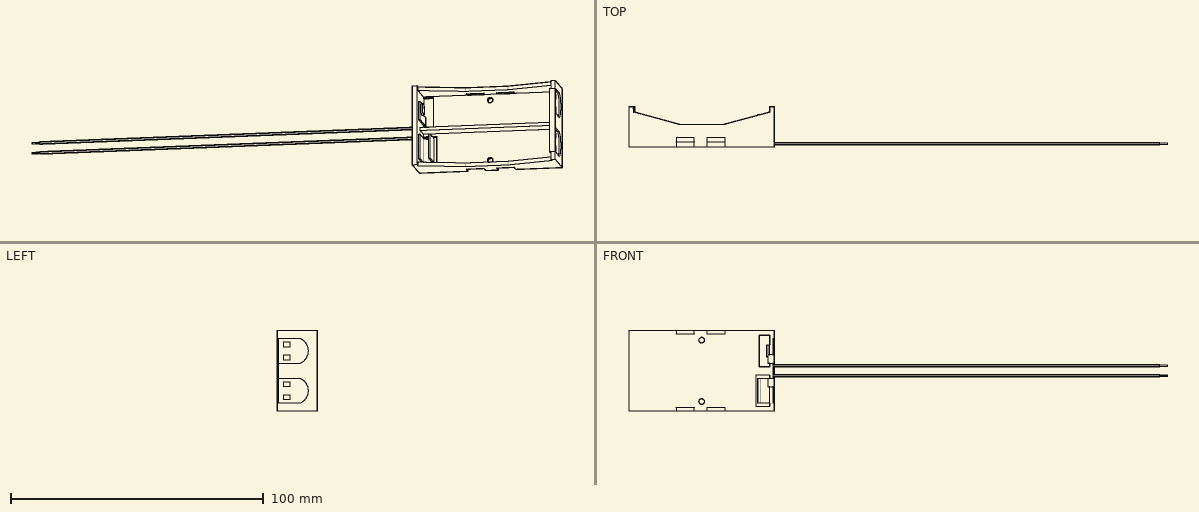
import cadquery as cq
import math


OVERALL_LENGTH = 213.0

LENGTH = 57.5
HEIGHT = 16.0
WIDTH = 32.0
FLOOR = 2.0
SIDE_WALL = 1.5
LEFT_WALL = 1.7
RIGHT_WALL = 2.0
DIVIDER = 1.3
SHOULDER_HEIGHT = 13.8
SIDE_LOW_HEIGHT = 9.0
DIP_START = 20.2
DIP_END = 37.3
SHEET = 0.6
CELL_OFFSET = 7.9
CELL_AXIS_HEIGHT = 8.5
CELL_SIDES = (1, -1)

LEFT_INNER = LEFT_WALL + SHEET
RIGHT_INNER = LENGTH - RIGHT_WALL

POCKET_HALF_WIDTH = 5.0
POCKET_BOTTOM = 3.6
POCKET_ARC_TOP = 6.8
POCKET_DEPTH = 0.6
POCKET_TOP = HEIGHT - SHEET
PRONG_HEIGHT = 2.5
PRONG_WIDTH = 2.0
PRONG_CENTRE = 12.1
PRONG_OFFSET = 2.5
CONTACT_SPAN = 2 * (CELL_OFFSET + POCKET_HALF_WIDTH)

SIDE_SLOT_STARTS = (18.7, 31.0)
SIDE_SLOT_LENGTH = 7.0
SIDE_SLOT_HEIGHT = 3.8
PIN_HOLE_DIAMETER = 2.1
PIN_HOLE_OFFSET = 12.1
WINDOW_INNER_OFFSET = 1.7
WINDOW_OUTER_OFFSET = 14.0
POSITIVE_WINDOW_START = 51.5
NEGATIVE_WINDOW_START = 50.3

END_RECESS = 0.6
RECESS_FACE = LENGTH - END_RECESS
END_RIB_INNER = 6.4
END_RIB_OUTER = 9.0
TAB_INNER = CELL_OFFSET - POCKET_HALF_WIDTH
TAB_OUTER = END_RIB_INNER
END_RIB_BOTTOM = 5.1

CONTACT_TOP = 12.8
CONTACT_BOTTOM = 5.1
BUTTON_RADIUS = 2.3
BUTTON_HEIGHT = 0.6
SPRING_BEND_RADIUS = 2.3
SPRING_REACH = 4.7
SPRING_TILT = math.radians(60)

WIRE_DIAMETER = 1.0
CORE_DIAMETER = 0.6
WIRE_OFFSET = 2.0
WIRE_HEIGHT = 1.3
STRIPPED_LENGTH = 3.2


def block(x_range, y_range, z_range):
    """Box between the given limits, each pair in either order."""
    (x0, x1), (y0, y1), (z0, z1) = sorted(x_range), sorted(y_range), sorted(z_range)
    return cq.Workplane("XY").box(x1 - x0, y1 - y0, z1 - z0, centered=False).translate((x0, y0, z0))


def housing_shell():
    """Open tray whose side walls slope down to a flat middle stretch, with a divider between the cells."""
    side_profile = (
        cq.Workplane("XY")
        .moveTo(0, 0)
        .lineTo(LENGTH, 0)
        .lineTo(LENGTH, HEIGHT)
        .lineTo(RIGHT_INNER, HEIGHT)
        .lineTo(RIGHT_INNER, SHOULDER_HEIGHT)
        .lineTo(DIP_END, SIDE_LOW_HEIGHT)
        .lineTo(DIP_START, SIDE_LOW_HEIGHT)
        .lineTo(LEFT_INNER, SHOULDER_HEIGHT)
        .lineTo(LEFT_WALL, SHOULDER_HEIGHT)
        .lineTo(LEFT_WALL, HEIGHT)
        .lineTo(0, HEIGHT)
        .close()
        .extrude(WIDTH / 2, both=True)
    )
    inner_half_width = WIDTH / 2 - SIDE_WALL
    cavity = block((LEFT_WALL, RIGHT_INNER), (FLOOR, HEIGHT), (-inner_half_width, inner_half_width))
    divider = block((LEFT_INNER, RIGHT_INNER), (0, SIDE_LOW_HEIGHT), (-DIVIDER / 2, DIVIDER / 2))
    return side_profile.cut(cavity).union(divider)


def left_end_pocket(side):
    """Shallow round-bottomed pocket in the outer face of the left wall."""
    return (
        cq.Workplane("YZ", origin=(0, 0, side * CELL_OFFSET))
        .moveTo(POCKET_TOP, -POCKET_HALF_WIDTH)
        .lineTo(POCKET_ARC_TOP, -POCKET_HALF_WIDTH)
        .threePointArc((POCKET_BOTTOM, 0), (POCKET_ARC_TOP, POCKET_HALF_WIDTH))
        .lineTo(POCKET_TOP, POCKET_HALF_WIDTH)
        .close()
        .extrude(POCKET_DEPTH)
    )


def bridge_prongs(side):
    """Two prongs from the inside of the left wall to the floor of a pocket."""
    z = side * CELL_OFFSET
    return (
        cq.Workplane("YZ", origin=(POCKET_DEPTH, 0, 0))
        .pushPoints([(PRONG_CENTRE, z + s * PRONG_OFFSET) for s in (1, -1)])
        .rect(PRONG_HEIGHT, PRONG_WIDTH)
        .extrude(LEFT_WALL - POCKET_DEPTH)
    )


def side_slot(start, side):
    """Slot through a side wall that also breaks the edge of the floor."""
    z_range = (side * (WIDTH / 2 - SIDE_WALL), side * WIDTH / 2)
    return block((start, start + SIDE_SLOT_LENGTH), (0, SIDE_SLOT_HEIGHT), z_range)


def pin_hole(side):
    hole = cq.Workplane("XZ").center(LENGTH / 2, side * PIN_HOLE_OFFSET).circle(PIN_HOLE_DIAMETER / 2)
    return hole.extrude(-FLOOR)


def window(start, side):
    z_range = (side * WINDOW_INNER_OFFSET, side * WINDOW_OUTER_OFFSET)
    return block((start, RIGHT_INNER), (0, FLOOR), z_range)


def right_end_recess():
    """Wide shallow recess, open at the floor, with one rib per cell standing above the floor."""
    recess = block((RECESS_FACE, LENGTH), (0, POCKET_TOP), (-CONTACT_SPAN / 2, CONTACT_SPAN / 2))
    for side in CELL_SIDES:
        rib_z = (side * END_RIB_INNER, side * END_RIB_OUTER)
        recess = recess.cut(block((RECESS_FACE, LENGTH), (END_RIB_BOTTOM, POCKET_TOP), rib_z))
    return recess


def tab_notch(side):
    """Groove for a solder tab across the underside of the right wall."""
    return block((RIGHT_INNER, LENGTH), (0, SHEET), (side * TAB_INNER, side * TAB_OUTER))


def bridge_seat():
    """Lowered top of the left wall that carries the bridge contact."""
    return block((0, LEFT_WALL), (POCKET_TOP, HEIGHT), (-CONTACT_SPAN / 2, CONTACT_SPAN / 2))


def make_housing():
    body = housing_shell().cut(bridge_seat()).cut(right_end_recess())
    body = body.cut(window(POSITIVE_WINDOW_START, 1)).cut(window(NEGATIVE_WINDOW_START, -1))
    for side in CELL_SIDES:
        body = body.cut(left_end_pocket(side)).cut(bridge_prongs(side))
        body = body.cut(pin_hole(side)).cut(tab_notch(side))
        for start in SIDE_SLOT_STARTS:
            body = body.cut(side_slot(start, side))
    return body


def make_bridge_contact():
    """Plate joining both cells inside the left wall, with prongs through the wall and a fold over its top."""
    z_range = (-CONTACT_SPAN / 2, CONTACT_SPAN / 2)
    plate = block((LEFT_WALL, LEFT_INNER), (POCKET_BOTTOM, HEIGHT), z_range)
    contact = plate.union(bridge_seat())
    for side in CELL_SIDES:
        contact = contact.union(bridge_prongs(side))
    return contact


def solder_tab(side):
    """Strip down from a contact, bent outward under the right wall and flush with the underside."""
    z_range = (side * TAB_INNER, side * TAB_OUTER)
    riser = block((RIGHT_INNER - SHEET, RIGHT_INNER), (0, CONTACT_BOTTOM), z_range)
    return riser.union(block((RIGHT_INNER - SHEET, LENGTH), (0, SHEET), z_range))


def make_positive_contact():
    """Plate with a round button facing the cell."""
    plate_x = RIGHT_INNER - SHEET
    z_range = (TAB_INNER, CELL_OFFSET + BUTTON_RADIUS)
    plate = block((plate_x, RIGHT_INNER), (CONTACT_BOTTOM, CONTACT_TOP), z_range)
    button = (
        cq.Workplane("YZ", origin=(plate_x, 0, 0))
        .center(CELL_AXIS_HEIGHT, CELL_OFFSET)
        .circle(BUTTON_RADIUS)
        .extrude(-BUTTON_HEIGHT)
    )
    return plate.union(button).union(solder_tab(1))


def make_negative_contact():
    """Leaf spring: a leg on the wall, a round bend near the floor and a leg that leans out, then rises."""
    centre_x = RIGHT_INNER - SPRING_BEND_RADIUS
    centre_y = CONTACT_BOTTOM
    free_leg_x = RIGHT_INNER - SPRING_REACH
    outer = SPRING_BEND_RADIUS
    inner = SPRING_BEND_RADIUS - SHEET

    def bend_low(radius):
        return (centre_x, centre_y - radius)

    def bend_end(radius):
        return (centre_x - radius * math.cos(SPRING_TILT), centre_y - radius * math.sin(SPRING_TILT))

    def lean_end(radius, x):
        bend_x, bend_y = bend_end(radius)
        return (x, bend_y + (bend_x - x) / math.tan(SPRING_TILT))

    leaf = (
        cq.Workplane("XY", origin=(0, 0, -CELL_OFFSET))
        .moveTo(RIGHT_INNER, CONTACT_TOP)
        .lineTo(RIGHT_INNER, centre_y)
        .threePointArc(bend_low(outer), bend_end(outer))
        .lineTo(*lean_end(outer, free_leg_x))
        .lineTo(free_leg_x, CONTACT_TOP)
        .lineTo(free_leg_x + SHEET, CONTACT_TOP)
        .lineTo(*lean_end(inner, free_leg_x + SHEET))
        .lineTo(*bend_end(inner))
        .threePointArc(bend_low(inner), (centre_x + inner, centre_y))
        .lineTo(centre_x + inner, CONTACT_TOP)
        .close()
        .extrude(POCKET_HALF_WIDTH, both=True)
    )
    return leaf.union(solder_tab(-1))


def wire_start(side):
    return cq.Workplane("YZ", origin=(RECESS_FACE, WIRE_HEIGHT, side * WIRE_OFFSET))


def make_wire_insulation(side):
    length = OVERALL_LENGTH - STRIPPED_LENGTH - RECESS_FACE
    return wire_start(side).circle(WIRE_DIAMETER / 2).circle(CORE_DIAMETER / 2).extrude(length)


def make_wire_core(side):
    return wire_start(side).circle(CORE_DIAMETER / 2).extrude(OVERALL_LENGTH - RECESS_FACE)


housing = make_housing()
bridge_contact = make_bridge_contact()
positive_contact = make_positive_contact()
negative_contact = make_negative_contact()
wire_insulations = [make_wire_insulation(side).val() for side in CELL_SIDES]
wire_cores = [make_wire_core(side).val() for side in CELL_SIDES]

result = cq.Compound.makeCompound([
    housing.val(),
    bridge_contact.val(),
    positive_contact.val(),
    negative_contact.val(),
    *wire_insulations,
    *wire_cores,
])